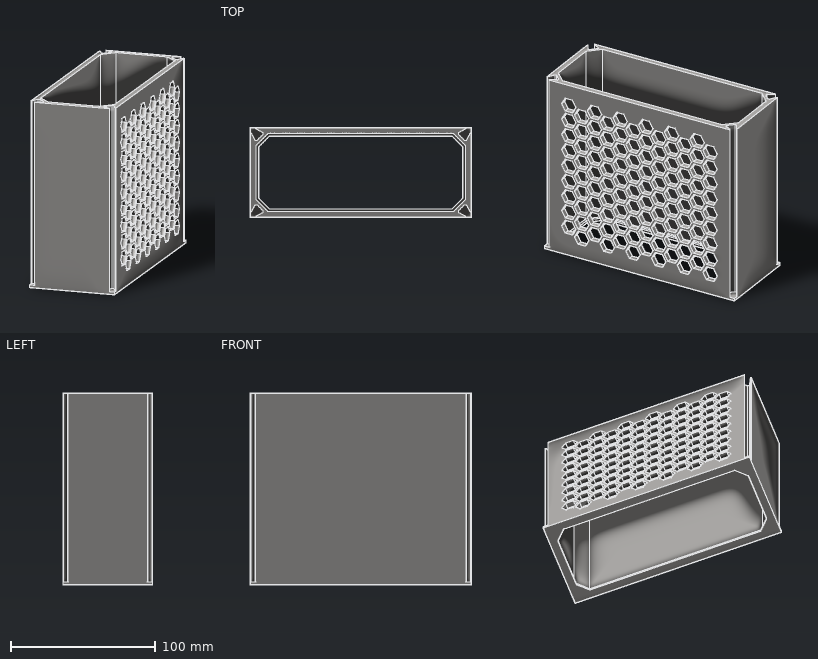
import cadquery as cq
import math

LENGTH = 153.3
DEPTH = 62.2
HEIGHT = 133.0

WALL = 4.0
BASE_THICKNESS = 2.0
BASE_LEDGE = 2.0
CAVITY_CHAMFER = 8.5

GROOVE_OPENING = 3.7
GROOVE_LIP = 0.5
GROOVE_LIP_BEVEL = 0.5
GROOVE_REACH = 8.7
GROOVE_FLANK_END = 3.4
GROOVE_FLOOR_CORNER = 4.8

HEX_ACROSS_FLATS = 10.0
HEX_PITCH = 12.0
HEX_COLUMNS = 12
HEX_ROWS = 9


def chamfered_prism(wall, chamfer, bottom, top):
    """Vertical prism inset from the outer box by `wall`, with chamfered corners."""
    return (
        cq.Workplane("XY", origin=(0, 0, bottom))
        .rect(LENGTH - 2 * wall, DEPTH - 2 * wall)
        .extrude(top - bottom)
        .edges("|Z")
        .chamfer(chamfer)
    )


def corner_groove(x_sign, y_sign):
    """Dovetail cutter at one vertical corner, stopping on top of the base."""
    half_outline = [
        (GROOVE_OPENING, 0),
        (GROOVE_OPENING, GROOVE_LIP),
        (GROOVE_OPENING + GROOVE_LIP_BEVEL, GROOVE_LIP + GROOVE_LIP_BEVEL),
        (GROOVE_REACH, GROOVE_FLANK_END),
        (GROOVE_REACH, GROOVE_FLOOR_CORNER),
    ]
    mirrored_half = [(b, a) for a, b in reversed(half_outline)]
    outline = [(0, 0)] + half_outline + mirrored_half
    points = [(x_sign * (LENGTH / 2 - a), y_sign * (DEPTH / 2 - b)) for a, b in outline]
    return (
        cq.Workplane("XY", origin=(0, 0, BASE_THICKNESS))
        .polyline(points)
        .close()
        .extrude(HEIGHT - BASE_THICKNESS)
    )


def hex_vents():
    """Staggered flat-topped hexagons through the back wall, centred on it."""
    column_pitch = HEX_PITCH * math.cos(math.radians(30))
    hex_diameter = HEX_ACROSS_FLATS / math.cos(math.radians(30))
    stagger = HEX_PITCH / 2
    centres = []
    for column in range(HEX_COLUMNS):
        x = (column - (HEX_COLUMNS - 1) / 2) * column_pitch
        column_shift = stagger * (column % 2 - 0.5)
        for row in range(HEX_ROWS):
            z = (row - (HEX_ROWS - 1) / 2) * HEX_PITCH + column_shift
            centres.append((x, z))
    return (
        cq.Workplane("XZ", origin=(0, DEPTH / 2, HEIGHT / 2))
        .pushPoints(centres)
        .polygon(6, hex_diameter)
        .extrude(WALL)
    )


shell = cq.Workplane("XY").box(LENGTH, DEPTH, HEIGHT, centered=(True, True, False))
cavity = chamfered_prism(WALL, CAVITY_CHAMFER, BASE_THICKNESS, HEIGHT)
opening_chamfer = CAVITY_CHAMFER - BASE_LEDGE * (2 - math.sqrt(2))
base_opening = chamfered_prism(WALL + BASE_LEDGE, opening_chamfer, 0, BASE_THICKNESS)
shell = shell.cut(cavity).cut(base_opening)

for x_sign in (-1, 1):
    for y_sign in (-1, 1):
        shell = shell.cut(corner_groove(x_sign, y_sign))

result = shell.cut(hex_vents())